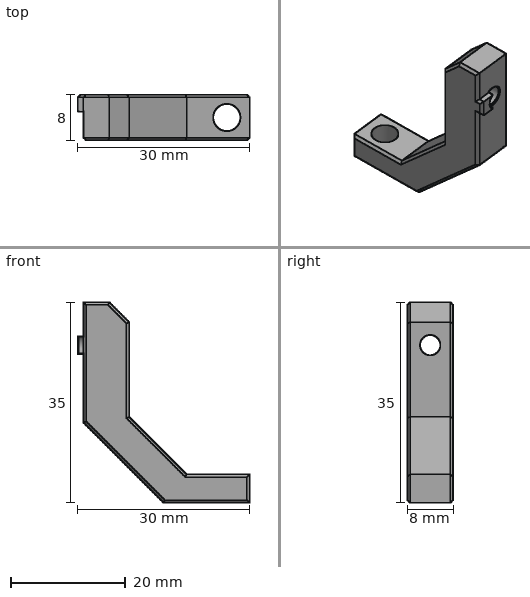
import cadquery as cq

depth = 8.0
height = 35.0
length = 29.0
column_width = 8.0
foot_height = 5.0
outer_bevel = 14.0
inner_bevel = 10.0
top_bevel = 3.5
edge_chamfer = 0.5

tab_projection = 1.0
tab_width = 3.1

column_hole_diameter = 3.5
column_hole_z = 27.5
column_hole_chamfer = 0.2
rim_clearance = 0.1
foot_hole_diameter = 4.7
foot_hole_end_offset = 4.0

mid_y = depth / 2
tab_bottom = column_hole_z - tab_width / 2
tab_top = column_hole_z + tab_width / 2


def bracket_with_tab():
    """Angled bracket with the tab standing on the back half of the column face."""
    outline = [
        (outer_bevel, 0),
        (length, 0),
        (length, foot_height),
        (column_width + inner_bevel, foot_height),
        (column_width, foot_height + inner_bevel),
        (column_width, height - top_bevel),
        (column_width - top_bevel, height),
        (0, height),
        (0, tab_top),
        (-tab_projection, tab_top),
        (-tab_projection, tab_bottom),
        (0, tab_bottom),
        (0, outer_bevel),
    ]
    body = cq.Workplane("XZ").polyline(outline).close().extrude(-depth)
    body = body.faces(">Y").chamfer(edge_chamfer)
    front_tab_half = cq.Workplane("XY").box(
        tab_projection, mid_y, tab_width, centered=False
    ).translate((-tab_projection, 0, tab_bottom))
    return body.cut(front_tab_half).faces("<Y").chamfer(edge_chamfer)


def column_hole():
    """Cross hole through the tab and the column, along X."""
    return (
        cq.Workplane("YZ", origin=(-tab_projection, mid_y, column_hole_z))
        .circle(column_hole_diameter / 2)
        .extrude(tab_projection + column_width)
    )


def foot_hole():
    """Vertical hole through the foot."""
    return (
        cq.Workplane("XY", origin=(length - foot_hole_end_offset, mid_y, 0))
        .circle(foot_hole_diameter / 2)
        .extrude(foot_height)
    )


def chamfer_column_hole_entry(body):
    """Break the stepped rim where the column hole meets the tab and the column face."""
    reach = column_hole_diameter / 2 + rim_clearance
    rim = cq.selectors.BoxSelector(
        (-tab_projection - rim_clearance, mid_y - reach, column_hole_z - reach),
        (rim_clearance, mid_y + reach, column_hole_z + reach),
        boundingbox=True,
    )
    return body.edges(rim).chamfer(column_hole_chamfer)


result = bracket_with_tab().cut(column_hole()).cut(foot_hole())
result = chamfer_column_hole_entry(result)